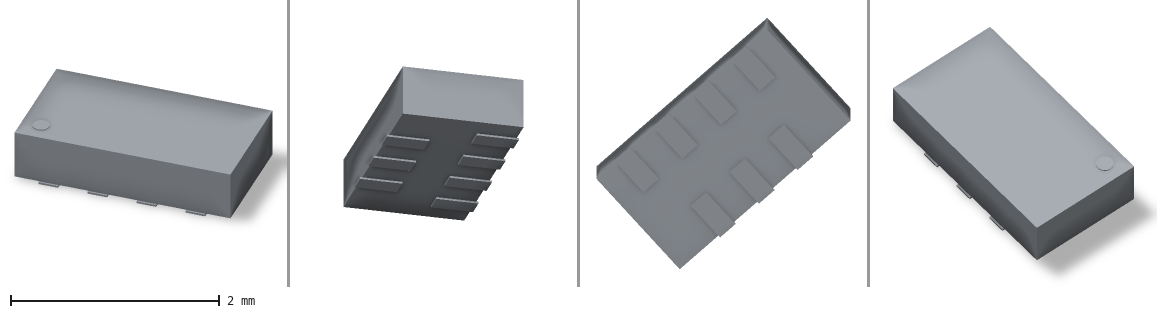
import cadquery as cq

housing_length = 2.2
housing_width = 1.2
housing_height = 0.5

pad_width = 0.2
pad_length = 0.418
pad_thickness = 0.02
pad_overhang = 0.021
pad_pitch = 0.5
front_pad_count = 4
back_pad_count = 3

mark_diameter = 0.17
mark_thickness = 0.01
mark_inset = 0.2

pad_row_y = housing_width / 2 + pad_overhang - pad_length / 2
mark_x = mark_inset - housing_length / 2
mark_y = mark_inset - housing_width / 2


def make_housing():
    return cq.Workplane("XY").box(
        housing_length, housing_width, housing_height, centered=(True, True, False)
    )


def make_pad(x, y):
    """One flat pad whose top face touches the housing underside."""
    pad = cq.Workplane("XY").box(pad_width, pad_length, pad_thickness, centered=(True, True, False))
    return pad.translate((x, y, -pad_thickness))


def make_pad_row(count, y):
    """Evenly spaced pads, centred on X."""
    first_x = -(count - 1) * pad_pitch / 2
    return [make_pad(first_x + i * pad_pitch, y) for i in range(count)]


def make_mark():
    disc = cq.Workplane("XY").circle(mark_diameter / 2).extrude(mark_thickness)
    return disc.translate((mark_x, mark_y, housing_height))


housing = make_housing()
front_pads = make_pad_row(front_pad_count, -pad_row_y)
back_pads = make_pad_row(back_pad_count, pad_row_y)
mark = make_mark()

result = cq.Compound.makeCompound(
    [housing.val(), mark.val(), *[pad.val() for pad in front_pads + back_pads]]
)